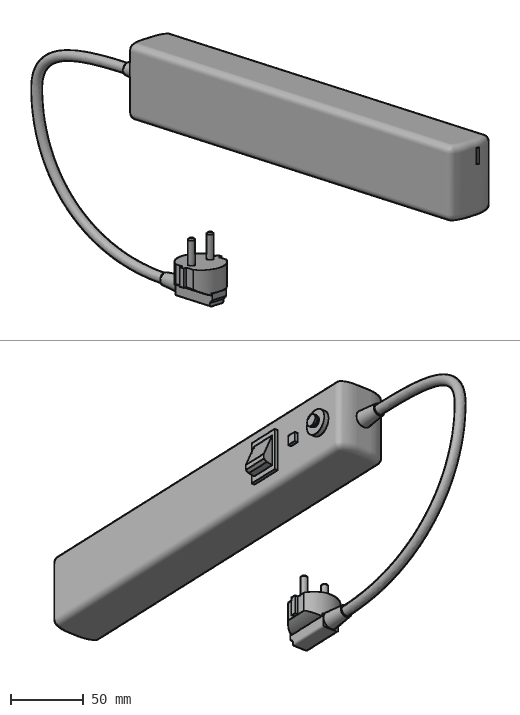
import cadquery as cq
import math


overall_length = 432.8
overall_depth = 49.5
overall_height = 178.7

housing_length = 322.0
housing_width = 39.5
housing_height = 55.5
housing_round = 5.0
end_setback = 4.5
cable_end_flat = 13.0
far_end_flat = 8.2
back_y = housing_width / 2

ridge_length = 1.0
ridge_width = 2.0
ridge_height = 11.5
ridge_center_z = 17.0

button_x = 24.0
button_base_diameter = 19.0
button_base_height = 4.0
button_stem_diameter = 8.0
button_cap_diameter = 9.0
button_cap_height = 2.0
button_height = 8.0
lamp_x = 52.0
lamp_size = 7.5
lamp_height = 2.5
switch_x = 83.0
switch_plate_width = 25.5
switch_plate_length = 32.0
switch_plate_height = 2.5
rocker_width = 20.0
rocker_length = 24.2
rocker_height = overall_depth - housing_width
rocker_crest_top_z = -5.0
rocker_crest_bottom_z = -9.0
rocker_toe_height = 7.5
rocker_toe_slant = 1.5

plug_x = 54.5
plug_radius = 18.0
plug_bottom_z = housing_height / 2 - overall_height
plug_height = 27.5
plug_top_z = plug_bottom_z + plug_height
plug_flat_half_width = 16.0
plug_side_height = 14.3
plug_belly_height = 20.0
rib_width = 4.0
rib_reach = 18.5
keel_width = 13.5
keel_top_depth = 17.5
keel_edge_round = 1.7
keel_end_chamfer = 2.5
keel_end_depth = 22.0

pin_diameter = 5.0
pin_length = 19.5
pin_half_pitch = 9.0
pin_chamfer = 1.5

cable_diameter = 8.0
relief_length = 17.0
relief_small_diameter = 9.5
relief_large_diameter = 13.0
relief_clearance = 0.5
cable_plug_z = plug_bottom_z + relief_large_diameter / 2 + relief_clearance
cable_left_x = housing_length + ridge_length - overall_length + cable_diameter / 2
cable_left_z = -35.5
upper_start_pull = 52.0
upper_left_pull = 32.5
lower_left_pull = 58.5
lower_end_pull = 82.2
joint_overlap = 2.0


def make_housing():
    """Long box with bowed ends; each bow is tangent to a narrow central flat."""

    def bow_radius(flat):
        half_chord = (housing_width - flat) / 2
        return (half_chord**2 + end_setback**2) / (2 * end_setback)

    def bow_middle(flat):
        """Distance from the end plane and from the centreline at the middle of the bow."""
        radius = bow_radius(flat)
        angle = math.asin((housing_width - flat) / 2 / radius) / 2
        return radius * (1 - math.cos(angle)), flat / 2 + radius * math.sin(angle)

    near_depth, near_y = bow_middle(cable_end_flat)
    far_depth, far_y = bow_middle(far_end_flat)
    outline = (
        cq.Workplane("XY")
        .moveTo(0, -cable_end_flat / 2)
        .lineTo(0, cable_end_flat / 2)
        .threePointArc((near_depth, near_y), (end_setback, back_y))
        .lineTo(housing_length - end_setback, back_y)
        .threePointArc((housing_length - far_depth, far_y), (housing_length, far_end_flat / 2))
        .lineTo(housing_length, -far_end_flat / 2)
        .threePointArc(
            (housing_length - far_depth, -far_y), (housing_length - end_setback, -back_y)
        )
        .lineTo(end_setback, -back_y)
        .threePointArc((near_depth, -near_y), (0, -cable_end_flat / 2))
        .close()
    )
    block = outline.extrude(housing_height / 2, both=True)
    block = block.edges("|Z and (<Y or >Y)").fillet(housing_round)
    block = block.faces("<Z or >Z").edges().fillet(housing_round)
    ridge = cq.Workplane("XY").box(
        ridge_length + joint_overlap, ridge_width, ridge_height
    ).translate((
        housing_length + (ridge_length - joint_overlap) / 2,
        (far_end_flat - ridge_width) / 2,
        ridge_center_z,
    ))
    return block.union(ridge)


def back_plane(x):
    """Work plane on the back face at the given X; its normal points out along +Y."""
    return cq.Workplane(cq.Plane((x, back_y, 0), xDir=(1, 0, 0), normal=(0, 1, 0)))


def make_button():
    base = back_plane(button_x).circle(button_base_diameter / 2).extrude(button_base_height)
    stem = back_plane(button_x).circle(button_stem_diameter / 2).extrude(button_height)
    cap = (
        back_plane(button_x)
        .workplane(offset=button_height - button_cap_height)
        .circle(button_cap_diameter / 2)
        .extrude(button_cap_height)
    )
    return base.union(stem).union(cap)


def make_lamp():
    return back_plane(lamp_x).rect(lamp_size, lamp_size).extrude(lamp_height)


def make_switch():
    """Bezel plate with a tilted rocker whose lower half stands out."""
    plate = (
        back_plane(switch_x)
        .rect(switch_plate_width, switch_plate_length)
        .extrude(switch_plate_height)
    )
    rocker = (
        cq.Workplane("YZ", origin=(switch_x, back_y, 0))
        .polyline([
            (0, rocker_length / 2),
            (switch_plate_height, rocker_length / 2),
            (rocker_height, rocker_crest_top_z),
            (rocker_height, rocker_crest_bottom_z),
            (rocker_toe_height, -rocker_length / 2 + rocker_toe_slant),
            (0, -rocker_length / 2),
        ])
        .close()
        .extrude(rocker_width / 2, both=True)
    )
    return plate.union(rocker)


def make_plug():
    """Round plug with two side flats, a rounded belly and a keel that carries the cable."""
    top = cq.Workplane("XY", origin=(plug_x, 0, plug_top_z))
    belly_z = -plug_belly_height
    profile = (
        cq.Workplane("YZ", origin=(plug_x, 0, plug_top_z))
        .moveTo(-plug_flat_half_width, 0)
        .lineTo(plug_flat_half_width, 0)
        .lineTo(plug_flat_half_width, -plug_side_height)
        .threePointArc((0, belly_z), (-plug_flat_half_width, -plug_side_height))
        .close()
        .extrude(plug_radius, both=True)
    )
    body = top.circle(plug_radius).extrude(-plug_height).intersect(profile)
    ribs = top.rect(rib_width, 2 * rib_reach).extrude(-plug_side_height)

    tip_drop = plug_height - keel_end_depth
    keel = (
        cq.Workplane("XZ", origin=(plug_x, 0, plug_top_z))
        .moveTo(-plug_radius, -keel_top_depth)
        .lineTo(plug_radius, -keel_top_depth)
        .lineTo(plug_radius, -keel_end_depth)
        .lineTo(plug_radius - keel_end_chamfer, -keel_end_depth - tip_drop / 2)
        .lineTo(plug_radius - keel_end_chamfer, -plug_height)
        .lineTo(-plug_radius, -plug_height)
        .close()
        .extrude(keel_width / 2, both=True)
    )
    keel = keel.faces("<Z").edges("|X").fillet(keel_edge_round)
    pins = (
        top.pushPoints([(0, pin_half_pitch), (0, -pin_half_pitch)])
        .circle(pin_diameter / 2)
        .extrude(pin_length)
        .faces(">Z")
        .chamfer(pin_chamfer)
    )
    return body.union(ribs).union(keel).union(pins)


def make_strain_relief(root_x, z):
    """Cone that shrinks toward -X, rooted slightly inside the body it belongs to."""
    cone = cq.Solid.makeCone(
        relief_large_diameter / 2,
        relief_small_diameter / 2,
        relief_length,
        pnt=cq.Vector(root_x, 0, z),
        dir=cq.Vector(-1, 0, 0),
    )
    root = cq.Workplane("YZ", origin=(root_x, 0, z)).circle(relief_large_diameter / 2)
    return root.extrude(joint_overlap).union(cq.Workplane(cone))


def make_cable():
    """Round cable on two Bezier curves that meet upright at the leftmost point."""
    start_x = -relief_length + joint_overlap
    end_x = plug_x - plug_radius - relief_length + joint_overlap
    path = (
        cq.Workplane("XZ")
        .moveTo(start_x, 0)
        .bezier([
            (start_x, 0),
            (start_x - upper_start_pull, 0),
            (cable_left_x, cable_left_z + upper_left_pull),
            (cable_left_x, cable_left_z),
        ])
        .bezier([
            (cable_left_x, cable_left_z),
            (cable_left_x, cable_left_z - lower_left_pull),
            (end_x - lower_end_pull, cable_plug_z),
            (end_x, cable_plug_z),
        ])
    )
    section = cq.Workplane("YZ", origin=(start_x, 0, 0)).circle(cable_diameter / 2)
    return section.sweep(path)


result = (
    make_housing()
    .union(make_button())
    .union(make_lamp())
    .union(make_switch())
    .union(make_plug())
    .union(make_strain_relief(0, 0))
    .union(make_strain_relief(plug_x - plug_radius, cable_plug_z))
    .union(make_cable())
)